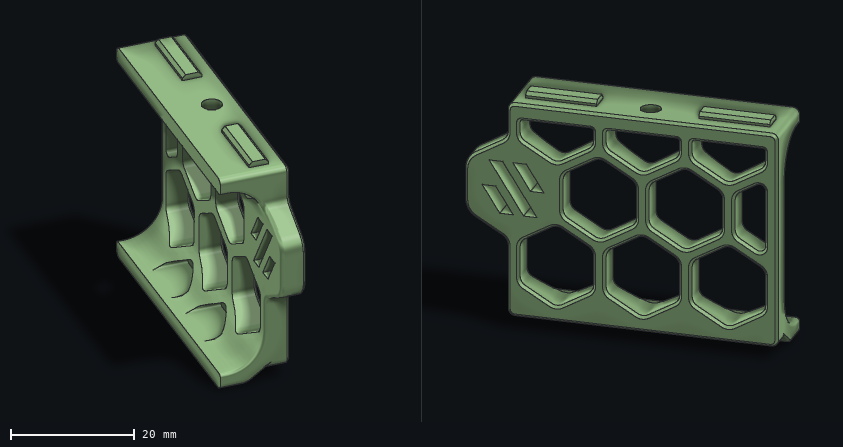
import cadquery as cq
import math


LENGTH = 52.9
BODY_LENGTH = 45.7
DEPTH = 12.0
BODY_HEIGHT = 39.5
CORNER_RADIUS = 1.2
BACK_CHAMFER = 0.5

PLATE_THICKNESS = 4.3
LIP_THICKNESS = 2.85
INNER_RADIUS = 6.5
RIM_RADIUS = 0.7
UNDERCUT_HEIGHT = 2.3
UNDERCUT_BACK = 4.95
UNDERCUT_FRONT = 8.25

HEX_WIDTH = 12.45
HEX_PITCH = 14.55
ROW_PITCH = HEX_PITCH * math.sqrt(3) / 2
HEX_RADIUS = 1.8
LIP_CORNER_RADIUS = 0.5
MARGIN_CORNER_RADIUS = 1.0
LEFT_MARGIN = 2.15
CELLS_PER_ROW = 3
POCKET_DEPTH = 8.15
LOWER_ROW_Z = 11.85
MIDDLE_ROW_Z = LOWER_ROW_Z + ROW_PITCH
UPPER_ROW_Z = MIDDLE_ROW_Z + ROW_PITCH
POCKET_ROW_Z = LOWER_ROW_Z - ROW_PITCH
LOWER_ROW_X = LEFT_MARGIN + HEX_WIDTH / 2
MIDDLE_ROW_X = LOWER_ROW_X - HEX_PITCH / 2

TAB_X = MIDDLE_ROW_X + CELLS_PER_ROW * HEX_PITCH
TAB_WIDTH = 2 * (LENGTH - TAB_X)
TAB_RADIUS = 3.4
TAB_ROOT_RADIUS = 2.0

SLOT_WIDTH = 2.3
SLOT_SLOPE = 0.64
SLOT_SPAN = 9.1
SHORT_SLOT = 4.65
SLOT_PITCH = 4.0
SLOT_CENTER_Z = 24.6

TONGUE_LENGTH = 12.0
TONGUE_WIDTH = 3.4
TONGUE_HEIGHT = 1.0
TONGUE_CHAMFER = 0.6
TONGUE_SPACING = 29.3
TOP_FEATURE_Y = DEPTH - 4.5
HOLE_DIAMETER = 3.4
SEAT_DIAMETER = 6.2
SEAT_DEPTH = 0.85

LIP_TOP = LIP_THICKNESS
LIP_BOTTOM = BODY_HEIGHT - LIP_THICKNESS
PLATE_FRONT = DEPTH - PLATE_THICKNESS

SELECT_MARGIN = 0.05


def prism_from_front(points, y_end=DEPTH):
    """Polygon of (x, z) points on the front plane, extruded back to y_end."""
    return cq.Workplane("XZ").polyline(points).close().extrude(-y_end)


def box(x_range, y_range, z_range):
    """Box given by its (start, end) along each axis."""
    size = [end - start for start, end in (x_range, y_range, z_range)]
    corner = (x_range[0], y_range[0], z_range[0])
    return cq.Workplane("XY").box(*size, centered=False).translate(corner)


def hex_prism(x, z, width, y_end=DEPTH):
    """Hexagonal prism along Y with a corner pointing up."""
    corner_distance = width / math.sqrt(3)
    angles = [math.radians(30 + 60 * i) for i in range(6)]
    points = [(x + corner_distance * math.cos(a), z + corner_distance * math.sin(a)) for a in angles]
    return prism_from_front(points, y_end)


def opening():
    """Space between the lips, open to the front and to both ends."""
    arc_start = PLATE_FRONT - INNER_RADIUS
    return (
        cq.Workplane("YZ")
        .moveTo(0, LIP_TOP)
        .lineTo(arc_start, LIP_TOP)
        .radiusArc((PLATE_FRONT, LIP_TOP + INNER_RADIUS), -INNER_RADIUS)
        .lineTo(PLATE_FRONT, LIP_BOTTOM - INNER_RADIUS)
        .radiusArc((arc_start, LIP_BOTTOM), -INNER_RADIUS)
        .lineTo(0, LIP_BOTTOM)
        .close()
        .extrude(LENGTH)
    )


def front_outline(bottom):
    """Rounded body rectangle above `bottom`, with the hexagonal tab, through the full depth."""
    body = box((0, BODY_LENGTH), (0, DEPTH), (bottom, BODY_HEIGHT)).edges("|Y").fillet(CORNER_RADIUS)
    tab = hex_prism(TAB_X, MIDDLE_ROW_Z, TAB_WIDTH).edges("|Y and >X").fillet(TAB_RADIUS)
    tab_root = cq.selectors.BoxSelector(
        (BODY_LENGTH - SELECT_MARGIN, 0, LIP_TOP),
        (BODY_LENGTH + SELECT_MARGIN, DEPTH, LIP_BOTTOM),
    )
    return body.union(tab).edges("|Y").edges(tab_root).fillet(TAB_ROOT_RADIUS)


def below_ramp():
    """Wedge under the sloping plane that joins the two underside levels."""
    lower_y = DEPTH - UNDERCUT_FRONT
    slope = UNDERCUT_HEIGHT / (UNDERCUT_FRONT - UNDERCUT_BACK)
    return (
        cq.Workplane("YZ")
        .polyline([(lower_y, 0), (DEPTH, 0), (DEPTH, slope * UNDERCUT_FRONT)])
        .close()
        .extrude(LENGTH)
    )


def cell(x, z, y_end=DEPTH):
    """Honeycomb cell, cut short by the lips and the left margin, with its corners rounded."""
    between_lips = cq.selectors.BoxSelector((0, 0, LIP_TOP), (LENGTH, DEPTH, LIP_BOTTOM))
    window = box((LEFT_MARGIN, BODY_LENGTH), (0, y_end), (LIP_TOP, LIP_BOTTOM))
    blank = hex_prism(x, z, HEX_WIDTH, y_end)
    blank = blank.edges("|Y").edges(between_lips).fillet(HEX_RADIUS).intersect(window)
    for clipped, side, radius in (
        (z < LIP_TOP, "<Z", LIP_CORNER_RADIUS),
        (z > LIP_BOTTOM, ">Z", LIP_CORNER_RADIUS),
        (x < LEFT_MARGIN + HEX_WIDTH / 2, "<X", MARGIN_CORNER_RADIUS),
    ):
        if clipped:
            blank = blank.faces(side).edges("|Y").fillet(radius)
    return blank


def honeycomb():
    """Three open rows of cells and the blind pockets above the lower lip."""
    cells = cq.Workplane("XY")
    for i in range(CELLS_PER_ROW):
        offset = i * HEX_PITCH
        cells = cells.add(cell(LOWER_ROW_X + offset, LOWER_ROW_Z))
        cells = cells.add(cell(MIDDLE_ROW_X + offset, MIDDLE_ROW_Z))
        cells = cells.add(cell(LOWER_ROW_X + offset, UPPER_ROW_Z))
    for i in range(1, CELLS_PER_ROW):
        cells = cells.add(cell(MIDDLE_ROW_X + i * HEX_PITCH, POCKET_ROW_Z, POCKET_DEPTH))
    return cells.combine()


def shell():
    """C-shaped honeycomb body with its stepped underside, chamfered back and rounded opening."""
    body = front_outline(0).cut(below_ramp()).union(front_outline(UNDERCUT_HEIGHT))
    body = body.cut(honeycomb()).faces(">Y").chamfer(BACK_CHAMFER)
    body = body.cut(opening())
    left_rim = cq.selectors.BoxSelector(
        (-SELECT_MARGIN, SELECT_MARGIN, LIP_TOP - SELECT_MARGIN),
        (SELECT_MARGIN, PLATE_FRONT + SELECT_MARGIN, LIP_BOTTOM + SELECT_MARGIN),
    )
    right_rim = cq.selectors.BoxSelector(
        (BODY_LENGTH - SELECT_MARGIN, SELECT_MARGIN, LIP_TOP - SELECT_MARGIN),
        (LENGTH + SELECT_MARGIN, PLATE_FRONT + SELECT_MARGIN, LIP_BOTTOM + SELECT_MARGIN),
        boundingbox=True,
    )
    body = body.edges(left_rim).fillet(RIM_RADIUS)
    return body.edges(right_rim).fillet(RIM_RADIUS)


def slanted_slot(x, z, height):
    """Parallelogram slot through the tab, centred at (x, z)."""
    run = SLOT_SLOPE * height
    points = [
        (x - (run + SLOT_WIDTH) / 2, z - height / 2),
        (x - (run - SLOT_WIDTH) / 2, z - height / 2),
        (x + (run + SLOT_WIDTH) / 2, z + height / 2),
        (x + (run - SLOT_WIDTH) / 2, z + height / 2),
    ]
    return prism_from_front(points)


def tab_slots():
    """Long middle slot with a short one high on its left and low on its right."""
    rise = (SLOT_SPAN - SHORT_SLOT) / 2
    slots = slanted_slot(TAB_X, SLOT_CENTER_Z, SLOT_SPAN)
    for side in (-1, 1):
        x = TAB_X + side * (SLOT_PITCH - SLOT_SLOPE * rise)
        slots = slots.add(slanted_slot(x, SLOT_CENTER_Z - side * rise, SHORT_SLOT))
    return slots.combine()


def tongues():
    """Two raised bars on top, with their long upper edges chamfered."""
    blank = (
        cq.Workplane("XY", origin=(BODY_LENGTH / 2, TOP_FEATURE_Y, BODY_HEIGHT))
        .rarray(TONGUE_SPACING, 0.55, 2, 1)
        .rect(TONGUE_LENGTH, TONGUE_WIDTH)
        .extrude(TONGUE_HEIGHT)
    )
    return blank.faces(">Z").edges("|X").chamfer(TONGUE_CHAMFER)


def screw_hole():
    """Hole through the upper lip, with a shallow screw-head seat in the lip's underside."""
    center = (BODY_LENGTH / 2, TOP_FEATURE_Y, LIP_BOTTOM)
    hole = cq.Workplane("XY", origin=center).circle(HOLE_DIAMETER / 2).extrude(LIP_THICKNESS)
    seat = cq.Workplane("XY", origin=center).circle(SEAT_DIAMETER / 2).extrude(SEAT_DEPTH)
    return hole.union(seat)


result = shell().cut(tab_slots()).cut(screw_hole()).union(tongues())